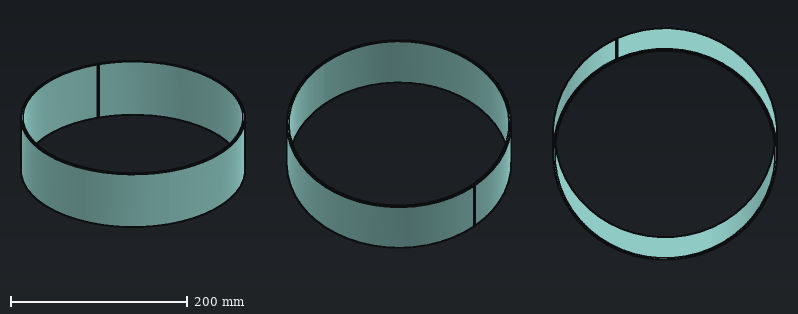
import cadquery as cq

outer_diameter = 255.0
wall = 2.5
height = 70.0
slit_width = 2.0
rim_chamfer = 0.5

outer_radius = outer_diameter / 2
inner_radius = outer_radius - wall

band = cq.Workplane("XY").circle(outer_radius).circle(inner_radius).extrude(height)
outer_rims = cq.selectors.RadiusNthSelector(1)
band = band.faces("<Z or >Z").edges(outer_rims).chamfer(rim_chamfer)

slit = cq.Workplane("XY").box(2 * wall, slit_width, height, centered=(True, False, False))
slit = slit.translate((wall / 2 - outer_radius, 0, 0))

result = band.cut(slit)